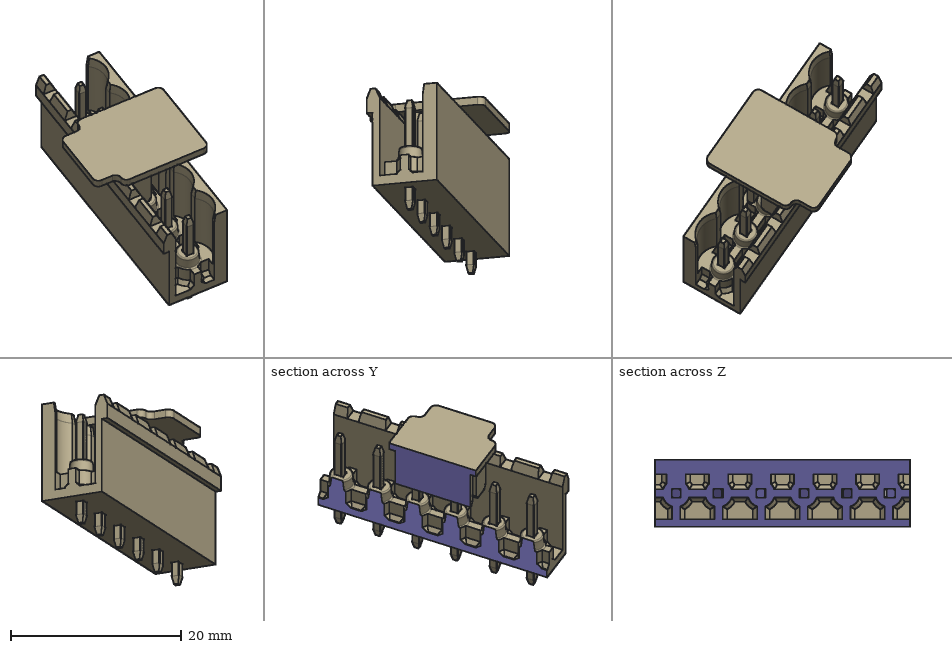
import cadquery as cq


length = 30.0
height = 12.0
pole_count = 6
chamber_pitch = length / pole_count
floor_top = 1.17
back_outer = 3.95
back_inner = 2.22
back_rim = 2.4
front_outer = -3.93
front_inner = -3.03
taper_start = 10.8
latch_tip = -4.65
latch_bottom = 9.03
crest_inner = -3.57
crest_outer = -4.17
scallop_radius = 2.73
scallop_rim_radius = 2.9
scallop_center_y = 0.45
notch_top_width = 1.8
notch_bottom_width = 1.45

rib_top = 3.45
rib_width = 1.0
block_width = 2.3
foot = 0.5
column_radius = 1.62
boss_base_radius = 1.45
boss_top_radius = 1.35
boss_top = 4.95
boss_fillet = 0.18

pin_width = 1.0
pin_row_span = 25.4
pin_pitch = pin_row_span / (pole_count - 1)
pin_tail_end = -2.58
pin_top = 10.83
pin_tip_length = 1.0
pin_tip_width = 0.55
pin_edge_chamfer = 0.1

cap_thickness = 1.0
cap_half_width = 5.7
cap_back = 6.9
cap_front = -7.6
cap_shoulder = latch_tip
cap_radius = 0.75
tab_half_width = cap_half_width - 2 * cap_radius
leg_half_length = 4.95
leg_bottom = 7.02
pin_clearance = 0.03
leg_gap = pin_width + pin_clearance
rear_leg_back_top = 1.5
rear_leg_back_bottom = 1.4
front_leg_front = -2.95
leg_chamfer_width = 0.3
leg_chamfer_height = 0.5

first_chamber_x = -(length - chamber_pitch) / 2
chamber_xs = [first_chamber_x + i * chamber_pitch for i in range(pole_count)]
pin_xs = [(i - (pole_count - 1) / 2) * pin_pitch for i in range(pole_count)]
pin_xs[0] = chamber_xs[0]


def extrude_along_x(points, span):
    """Extrude a (Y, Z) outline along X, centred on X = 0."""
    return cq.Workplane("YZ").polyline(points).close().extrude(span / 2, both=True)


def footed_outline(width):
    """Cross-section of a rib that flares out at 45 degrees onto the floor."""
    half = width / 2
    return [
        (-half - foot, floor_top),
        (half + foot, floor_top),
        (half, floor_top + foot),
        (half, rib_top),
        (-half, rib_top),
        (-half, floor_top + foot),
    ]


def wall_shell():
    """Floor, back wall and latching front wall as one constant section."""
    outline = [
        (back_outer, 0),
        (back_outer, height),
        (back_rim, height),
        (back_inner, taper_start),
        (back_inner, floor_top),
        (front_inner, floor_top),
        (front_inner, taper_start),
        (crest_inner, height),
        (crest_outer, height),
        (latch_tip, taper_start),
        (latch_tip, latch_bottom),
        (front_outer, latch_bottom),
        (front_outer, 0),
    ]
    return extrude_along_x(outline, length)


def scallop(x):
    """Cutter for the round recess in the back wall, flared at the rim."""
    profile = [
        (0, rib_top),
        (scallop_radius, rib_top),
        (scallop_radius, taper_start),
        (scallop_rim_radius, height),
        (0, height),
    ]
    cutter = cq.Workplane("XZ").polyline(profile).close().revolve(360, (0, 0), (0, 1))
    return cutter.translate((x, scallop_center_y, 0))


def front_notch(x):
    """Cutter for the tapered notch through the crest of the front wall."""
    outline = [
        (x - notch_bottom_width / 2, taper_start),
        (x + notch_bottom_width / 2, taper_start),
        (x + notch_top_width / 2, height),
        (x - notch_top_width / 2, height),
    ]
    start = cq.Workplane("XZ", origin=(0, front_inner, 0))
    return start.polyline(outline).close().extrude(front_inner - latch_tip)


def boss(x):
    """Round column with a flared foot and a slightly tapered collar on top."""
    fillet_start = rib_top + boss_fillet
    profile = (
        cq.Workplane("XZ")
        .moveTo(0, floor_top)
        .lineTo(column_radius + foot, floor_top)
        .lineTo(column_radius, floor_top + foot)
        .lineTo(column_radius, rib_top)
        .radiusArc((boss_base_radius, fillet_start), boss_fillet)
        .lineTo(boss_top_radius, boss_top - boss_fillet)
        .radiusArc((boss_top_radius - boss_fillet, boss_top), -boss_fillet)
        .lineTo(0, boss_top)
        .close()
    )
    return profile.revolve(360, (0, 0), (0, 1)).translate((x, 0, 0))


def cross_rib(x, y_from, y_to, width):
    """Footed rib that runs along Y at the given X."""
    start = cq.Workplane("XZ", origin=(x, y_to, 0))
    return start.polyline(footed_outline(width)).close().extrude(y_to - y_from)


def pin_hole(x):
    """Square through-hole cutter that fits a pin at the given X."""
    return cq.Workplane("XY").center(x, 0).rect(pin_width, pin_width).extrude(boss_top)


def make_housing():
    body = wall_shell()
    for x in chamber_xs:
        body = body.cut(scallop(x)).cut(front_notch(x))
    body = body.union(extrude_along_x(footed_outline(rib_width), length))
    for x in chamber_xs:
        body = body.union(cross_rib(x, 0, back_inner, block_width))
        body = body.union(cross_rib(x, front_inner, 0, rib_width))
        body = body.union(boss(x))
    for chamber_x, pin_x in zip(chamber_xs, pin_xs):
        body = body.cut(pin_hole(chamber_x)).cut(pin_hole(pin_x))
    return body


def pin_tip(base_z, end_z):
    """Square tip that narrows from the pin width at base_z to end_z."""
    return (
        cq.Workplane("XY", origin=(0, 0, base_z))
        .rect(pin_width, pin_width)
        .workplane(offset=end_z - base_z)
        .rect(pin_tip_width, pin_tip_width)
        .loft()
    )


def make_pin(x):
    shank_bottom = pin_tail_end + pin_tip_length
    shank_top = pin_top - pin_tip_length
    shank = (
        cq.Workplane("XY", origin=(0, 0, shank_bottom))
        .rect(pin_width, pin_width)
        .extrude(shank_top - shank_bottom)
        .edges("|Z")
        .chamfer(pin_edge_chamfer)
    )
    pin = shank.union(pin_tip(shank_top, pin_top)).union(pin_tip(shank_bottom, pin_tail_end))
    return pin.translate((x, 0, 0))


def cap_plate():
    """Flat pick-up plate with a narrower tab at the front and rounded corners."""
    r = cap_radius
    half_plate = (
        cq.Workplane("XY", origin=(0, 0, height))
        .moveTo(0, cap_back)
        .lineTo(cap_half_width - r, cap_back)
        .radiusArc((cap_half_width, cap_back - r), r)
        .lineTo(cap_half_width, cap_shoulder + r)
        .radiusArc((cap_half_width - r, cap_shoulder), r)
        .radiusArc((tab_half_width, cap_shoulder - r), -r)
        .lineTo(tab_half_width, cap_front + r)
        .radiusArc((tab_half_width - r, cap_front), r)
        .lineTo(0, cap_front)
    )
    return half_plate.mirrorY().extrude(cap_thickness)


def cap_legs():
    """Two plates that hang into the housing on either side of the pins."""
    gap_side = leg_gap / 2
    lead_in = leg_bottom + leg_chamfer_height
    rear = [
        (gap_side, height),
        (rear_leg_back_top, height),
        (rear_leg_back_bottom, leg_bottom),
        (gap_side + leg_chamfer_width, leg_bottom),
        (gap_side, lead_in),
    ]
    front = [
        (-gap_side, height),
        (-gap_side, lead_in),
        (-gap_side - leg_chamfer_width, leg_bottom),
        (front_leg_front + leg_chamfer_width, leg_bottom),
        (front_leg_front, lead_in),
        (front_leg_front, height),
    ]
    span = 2 * leg_half_length
    return extrude_along_x(rear, span).union(extrude_along_x(front, span))


def make_cap():
    return cap_plate().union(cap_legs())


housing = make_housing().solids()
pins = [make_pin(x).solids() for x in pin_xs]
cap = make_cap().solids()

result = cq.Compound.makeCompound([housing.val(), *[pin.val() for pin in pins], cap.val()])